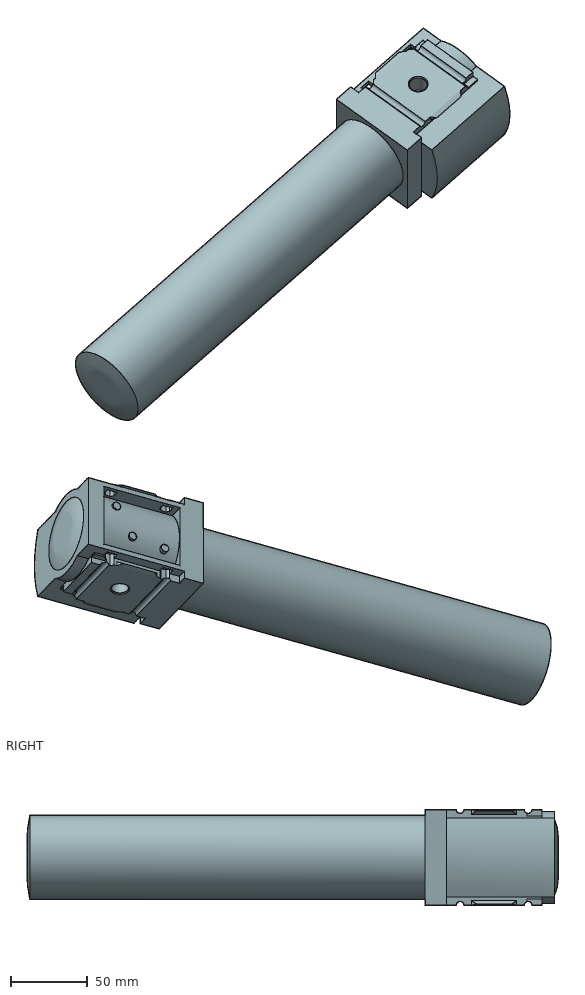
import cadquery as cq
import math

TOTAL_LENGTH = 345.0
HEAD_SIZE = 62.0
HEAD_DEPTH = 84.2
FLANGE_DEPTH = 13.8
FRAME_HEIGHT = 51.5
TUBE_DIAMETER = 55.0

DOME_FLAT_RADIUS = 13.8
REAR_DOME_RADIUS = 24.5
REAR_DOME_HEIGHT = 2.5
TUBE_DOME_HEIGHT = 1.7

CORE_RADIUS = 30.0

BLOCK_WIDTH = 48.0
BLOCK_BACK = 76.0
PORT_DIAMETER = 11.5
PORT_CHAMFER = 0.7
PORT_DEPTH = 13.8
MID_Y = 45.0
GROOVE_OFFSET = 22.0
GROOVE_RADIUS = 2.5
CORNER_NOTCH_WIDTH = 4.0
CORNER_NOTCH_FRONT = 66.2
CORNER_NOTCH_FLOOR = 27.0

LUG_REACH = 3.0
LUG_LENGTH = 29.3
LUG_TIP_Z = 30.2
LUG_ROOT_Z = 28.0

SLOT_OFFSET = 20.5
SLOT_LENGTH = 7.2
SLOT_OUTER_X = -28.3
SLOT_INNER_X = -22.0
SLOT_INNER_LENGTH = 3.5

WINDOW_LENGTH = 56.0
WINDOW_HEIGHT = 44.5
PIN_DIAMETER = 5.5
PIN_TIP_X = -29.5
PIN_POSITIONS = [(62.5, 11.0), (50.7, -8.5), (27.3, -11.0)]

COVER_REACH = 13.8
COVER_CROWN = 5.0

HALF_HEAD = HEAD_SIZE / 2
HALF_FRAME = FRAME_HEIGHT / 2
HALF_BLOCK = BLOCK_WIDTH / 2
TUBE_LENGTH = TOTAL_LENGTH - HEAD_DEPTH - REAR_DOME_HEIGHT


def box(x_range, y_range, z_range):
    """Axis-aligned box from its limits along each axis."""
    limits = (x_range, y_range, z_range)
    size = [high - low for low, high in limits]
    corner = [low for low, high in limits]
    return cq.Workplane("XY").box(*size, centered=False).translate(corner)


def domed_round(radius, base_y, rim_y, dome_height):
    """Round bar along Y from base_y to rim_y, ending in a dome with a flat centre."""
    outward = math.copysign(1, rim_y - base_y)
    ring_width = radius - DOME_FLAT_RADIUS
    arc_radius = (ring_width**2 + dome_height**2) / (2 * dome_height)
    half_angle = math.asin(ring_width / arc_radius) / 2
    top_y = rim_y + outward * dome_height
    arc_middle = (
        DOME_FLAT_RADIUS + arc_radius * math.sin(half_angle),
        top_y - outward * arc_radius * (1 - math.cos(half_angle)),
    )
    return (
        cq.Workplane("XY")
        .moveTo(0, base_y)
        .lineTo(radius, base_y)
        .lineTo(radius, rim_y)
        .threePointArc(arc_middle, (DOME_FLAT_RADIUS, top_y))
        .lineTo(0, top_y)
        .close()
        .revolve(360, (0, 0, 0), (0, 1, 0))
    )


def core():
    """Round core along the full length of the head."""
    return cq.Workplane("XZ").circle(CORE_RADIUS).extrude(-HEAD_DEPTH)


def cover():
    """Cover on the +X side with a curved outer face."""
    edge_x = HALF_HEAD + COVER_REACH - COVER_CROWN
    return (
        cq.Workplane("XZ")
        .moveTo(0, -HALF_FRAME)
        .lineTo(edge_x, -HALF_FRAME)
        .threePointArc((HALF_HEAD + COVER_REACH, 0), (edge_x, HALF_FRAME))
        .lineTo(0, HALF_FRAME)
        .close()
        .extrude(FLANGE_DEPTH - HEAD_DEPTH)
        .translate((0, FLANGE_DEPTH, 0))
    )


def lug():
    """Wedge lug on the -X side of the top port block, with ends cut at 45 degrees."""
    root_x = -HALF_BLOCK
    tip_x = root_x - LUG_REACH
    half_root = LUG_LENGTH / 2
    half_tip = half_root - LUG_REACH
    wedge = (
        cq.Workplane("XZ")
        .polyline([(root_x, LUG_ROOT_Z), (root_x, HALF_HEAD), (tip_x, LUG_TIP_Z)])
        .close()
        .extrude(half_root, both=True)
    )
    plan = (
        cq.Workplane("XY")
        .polyline([(root_x, -half_root), (root_x, half_root), (tip_x, half_tip), (tip_x, -half_tip)])
        .close()
        .extrude(HALF_HEAD)
    )
    return wedge.intersect(plan).translate((0, MID_Y, 0))


def top_port_block():
    """Raised block on the top of the frame, with corner notches and lugs."""
    block = box((-HALF_BLOCK, HALF_BLOCK), (0, BLOCK_BACK), (0, HALF_HEAD))
    notch = box(
        (-HALF_BLOCK, CORNER_NOTCH_WIDTH - HALF_BLOCK),
        (CORNER_NOTCH_FRONT, BLOCK_BACK),
        (CORNER_NOTCH_FLOOR, HALF_HEAD),
    )
    block = block.cut(notch).cut(notch.mirror("YZ"))
    return block.union(lug()).union(lug().mirror("YZ"))


def top_grooves():
    """Cutter for the two round-bottomed grooves across the top port block."""
    groove = cq.Workplane("YZ").circle(GROOVE_RADIUS).extrude(BLOCK_WIDTH)
    rear_groove = groove.translate((-HALF_BLOCK, MID_Y + GROOVE_OFFSET, HALF_HEAD))
    front_groove = groove.translate((-HALF_BLOCK, MID_Y - GROOVE_OFFSET, HALF_HEAD))
    return rear_groove.union(front_groove)


def top_port():
    """Cutter for the blind port with its chamfered mouth."""
    port = cq.Workplane("XY").circle(PORT_DIAMETER / 2).extrude(-PORT_DEPTH)
    mouth = (
        cq.Workplane("XY")
        .circle(PORT_DIAMETER / 2 + PORT_CHAMFER)
        .workplane(offset=-PORT_CHAMFER)
        .circle(PORT_DIAMETER / 2)
        .loft()
    )
    return port.union(mouth).translate((0, MID_Y, HALF_HEAD))


def clip_slots():
    """Cutter for the two vertical slots, tapered where they enter the port blocks."""
    half_outer = SLOT_LENGTH / 2
    half_inner = SLOT_INNER_LENGTH / 2
    slot = (
        cq.Workplane("XY")
        .moveTo(SLOT_OUTER_X, -half_outer)
        .lineTo(-HALF_BLOCK, -half_outer)
        .lineTo(SLOT_INNER_X, -half_inner)
        .lineTo(SLOT_INNER_X, half_inner)
        .lineTo(-HALF_BLOCK, half_outer)
        .lineTo(SLOT_OUTER_X, half_outer)
        .close()
        .extrude(HALF_HEAD, both=True)
    )
    rear_slot = slot.translate((0, MID_Y + SLOT_OFFSET, 0))
    front_slot = slot.translate((0, MID_Y - SLOT_OFFSET, 0))
    return rear_slot.union(front_slot)


def window():
    """Cutter for the window, reaching in until it meets the core."""
    return box(
        (-HALF_HEAD, 0),
        (MID_Y - WINDOW_LENGTH / 2, MID_Y + WINDOW_LENGTH / 2),
        (-WINDOW_HEIGHT / 2, WINDOW_HEIGHT / 2),
    )


def pin(y, z):
    """Pin along X from inside the core to its tip."""
    return cq.Workplane("YZ").circle(PIN_DIAMETER / 2).extrude(PIN_TIP_X).translate((0, y, z))


flange = box((-HALF_HEAD, HALF_HEAD), (0, FLANGE_DEPTH), (-HALF_HEAD, HALF_HEAD))
frame = box((-HALF_HEAD, HALF_HEAD), (FLANGE_DEPTH, HEAD_DEPTH), (-HALF_FRAME, HALF_FRAME))
block = top_port_block()
head = flange.union(frame).union(cover()).union(block).union(block.mirror("XY"))

head = head.cut(clip_slots()).cut(window())
head = head.union(core())
for pin_y, pin_z in PIN_POSITIONS:
    head = head.union(pin(pin_y, pin_z))

for cutter in (top_port(), top_grooves()):
    head = head.cut(cutter).cut(cutter.mirror("XY"))

tube = domed_round(TUBE_DIAMETER / 2, 0, TUBE_DOME_HEIGHT - TUBE_LENGTH, TUBE_DOME_HEIGHT)
rear_dome = domed_round(REAR_DOME_RADIUS, BLOCK_BACK, HEAD_DEPTH, REAR_DOME_HEIGHT)
result = head.union(tube).union(rear_dome)